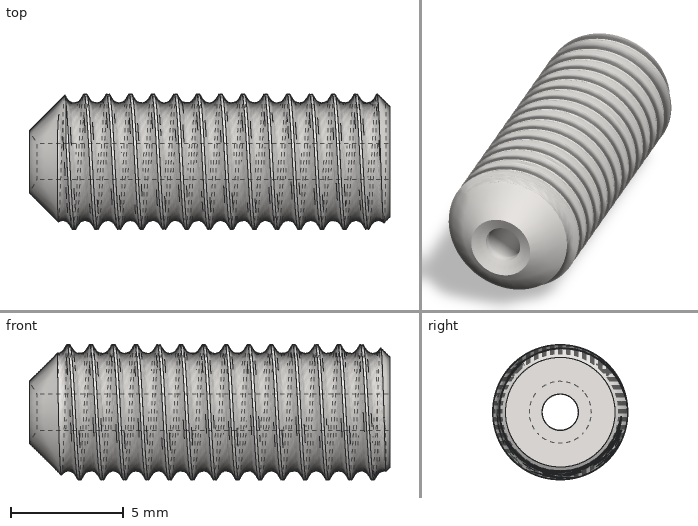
import cadquery as cq
import math

length = 16.0
major_radius = 6.0 / 2

pitch = length / 16
crest_width = pitch / 8
flank_half_angle = math.radians(30)
thread_depth = 0.38
crest_position = 0.48
curve_steps = 8

tip_radius = 1.38
tail_radius = 2.43
blank_clearance = 0.16
blank_radius = major_radius + blank_clearance
bore_radius = 0.8
cup_depth = 0.34


def blank():
    """Solid of revolution about Z: cupped cone tip, cylinder, chamfered tail and through bore."""
    profile = (
        cq.Workplane("XZ")
        .moveTo(bore_radius, cup_depth)
        .lineTo(tip_radius, 0)
        .lineTo(blank_radius, blank_radius - tip_radius)
        .lineTo(blank_radius, length - (blank_radius - tail_radius))
        .lineTo(tail_radius, length)
        .lineTo(bore_radius, length)
        .close()
    )
    return profile.revolve(360, (0, 0, 0), (0, 1, 0))


def threaded_rod():
    """Right-hand threaded rod along Z, made by twisting its cross-section one turn per pitch.

    Going once around the cross-section traces one pitch of the axial thread profile:
    a flat crest, a straight flank, a round root tangent to both flanks, and the other flank.
    """
    half_crest = crest_width / 2
    half_opening = pitch / 2 - half_crest
    flank_apex_radius = major_radius - half_opening / math.tan(flank_half_angle)
    root_radius = major_radius - thread_depth

    sine = math.sin(flank_half_angle)
    root_arc_radius = (root_radius - flank_apex_radius) * sine / (1 - sine)
    root_arc_center = root_radius + root_arc_radius
    half_root = root_arc_radius * math.cos(flank_half_angle)

    def section_point(offset, radius):
        """Point of the cross-section at an axial offset from the crest middle."""
        angle = -2 * math.pi * (offset + crest_position) / pitch
        return (radius * math.cos(angle), radius * math.sin(angle))

    def flank_radius(offset):
        return flank_apex_radius + abs(pitch / 2 - offset) / math.tan(flank_half_angle)

    def root_arc_point_radius(offset):
        return root_arc_center - math.sqrt(root_arc_radius**2 - (offset - pitch / 2) ** 2)

    def spaced_points(radius_at, first, last):
        """Points from just after the first offset up to the last one."""
        step = (last - first) / curve_steps
        offsets = [first + step * i for i in range(1, curve_steps + 1)]
        return [section_point(offset, radius_at(offset)) for offset in offsets]

    root_start = pitch / 2 - half_root
    root_end = pitch / 2 + half_root
    section = (
        cq.Workplane("XY")
        .moveTo(*section_point(-half_crest, major_radius))
        .threePointArc(section_point(0, major_radius), section_point(half_crest, major_radius))
        .spline(spaced_points(flank_radius, half_crest, root_start), includeCurrent=True)
        .spline(spaced_points(root_arc_point_radius, root_start, root_end), includeCurrent=True)
        .spline(spaced_points(flank_radius, root_end, pitch - half_crest), includeCurrent=True)
        .close()
    )
    turns = math.ceil(length / pitch) + 2
    rod = section.twistExtrude(turns * pitch, 360 * turns)
    return rod.translate((0, 0, -pitch))


screw = blank().intersect(threaded_rod())

result = screw.rotate((0, 0, 0), (1, 1, 1), 120)